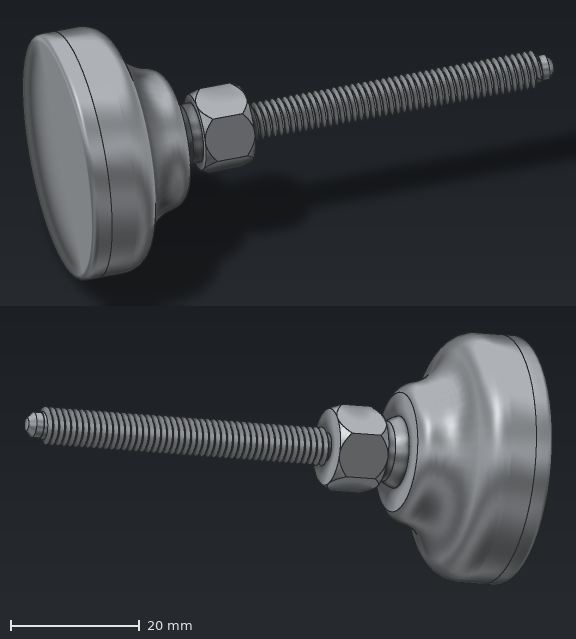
import math

import cadquery as cq


foot_radius = 39.0 / 2
pad_height = 3.0
pad_edge_radius = 1.0
rim_top = 7.0
shoulder_radius = 16.3
shoulder_height = 11.0
collar_radius = 11.2
collar_height = 16.5
top_radius = 9.3
top_height = 18.8

total_length = 80.5
ball_radius = 5.9
ball_height = 17.2
neck_radius = 9.4 / 2
hex_start = 22.4
hex_end = 30.4
hex_flats = 12.0
hex_turn = 8.5
hex_chamfer_angle = 60.0
rod_end = 78.3
root_radius = 4.35 / 2
thread_radius = 6.0 / 2
thread_turns = 47
thread_length = 47.0
thread_pitch = thread_length / thread_turns
crest_start = 30.8
ridge_base = 1.0
tip_radius = 2.0
tip_chamfer = 1.0
embed = 0.04


def turned(profile):
    """Revolve a closed XY half profile about the Y axis."""
    return profile.revolve(360, (0, 0, 0), (0, 1, 0))


def rod(radius, start, end):
    """Cylinder on the Y axis between two heights."""
    return cq.Workplane("XZ", origin=(0, start, 0)).circle(radius).extrude(start - end)


def make_pad():
    return rod(foot_radius, 0, pad_height).faces("<Y").edges().fillet(pad_edge_radius)


def make_ball():
    return cq.Workplane("XY").sphere(ball_radius).translate((0, ball_height, 0))


def make_housing():
    profile = (
        cq.Workplane("XY")
        .moveTo(0, pad_height)
        .lineTo(foot_radius, pad_height)
        .lineTo(foot_radius, rim_top)
        .tangentArcPoint((shoulder_radius, shoulder_height), relative=False)
        .tangentArcPoint((collar_radius, collar_height), relative=False)
        .tangentArcPoint((top_radius, top_height), relative=False)
        .lineTo(0, top_height)
        .close()
    )
    return turned(profile).cut(make_ball())


def make_hexagon():
    """Hexagon whose corners are cut by a steep cone at both ends."""
    height = hex_end - hex_start
    corner_radius = hex_flats / math.sqrt(3)
    end_radius = hex_flats / 2
    drop = (corner_radius - end_radius) * math.tan(math.radians(hex_chamfer_angle))
    prism = (
        cq.Workplane("XZ", origin=(0, hex_start, 0))
        .polygon(6, 2 * corner_radius)
        .extrude(-height)
        .rotate((0, 0, 0), (0, 1, 0), hex_turn)
    )
    envelope = turned(
        cq.Workplane("XY").polyline(
            [
                (0, hex_start),
                (end_radius, hex_start),
                (corner_radius, hex_start + drop),
                (corner_radius, hex_end - drop),
                (end_radius, hex_end),
                (0, hex_end),
            ]
        ).close()
    )
    return prism.intersect(envelope)


def make_thread_ridge():
    """Right-handed helical ridge of triangular section, as one closed solid built turn by turn."""
    base_radius = root_radius - embed
    corners = [(base_radius, -ridge_base / 2), (thread_radius, 0), (base_radius, ridge_base / 2)]

    def turn_of_helix(radius, height):
        return cq.Wire.makeHelix(thread_pitch, thread_pitch, radius).translate(cq.Vector(0, 0, height))

    def end_face(height):
        points = [cq.Vector(radius, 0, height + shift) for radius, shift in corners]
        return cq.Face.makeFromWires(cq.Wire.makePolygon(points, close=True))

    faces = [end_face(0), end_face(thread_length)]
    for turn in range(thread_turns):
        rails = [turn_of_helix(radius, turn * thread_pitch + shift) for radius, shift in corners]
        faces += [cq.Face.makeRuledSurface(rails[i - 1], rails[i]) for i in range(len(rails))]
    ridge = cq.Solid.makeSolid(cq.Shell.makeShell(faces))
    return cq.Workplane(ridge).rotate((0, 0, 0), (1, 0, 0), -90).translate((0, crest_start, 0))


def make_spindle():
    neck = rod(neck_radius, ball_height, hex_start)
    tip = rod(tip_radius, rod_end, total_length).faces(">Y").chamfer(tip_chamfer)
    threaded_rod = rod(root_radius, hex_end, rod_end).union(make_thread_ridge())
    return make_ball().union(neck).union(make_hexagon()).union(threaded_rod).union(tip)


pad = make_pad()
housing = make_housing()
spindle = make_spindle()

result = cq.Compound.makeCompound([pad.solids().val(), housing.solids().val(), spindle.solids().val()])